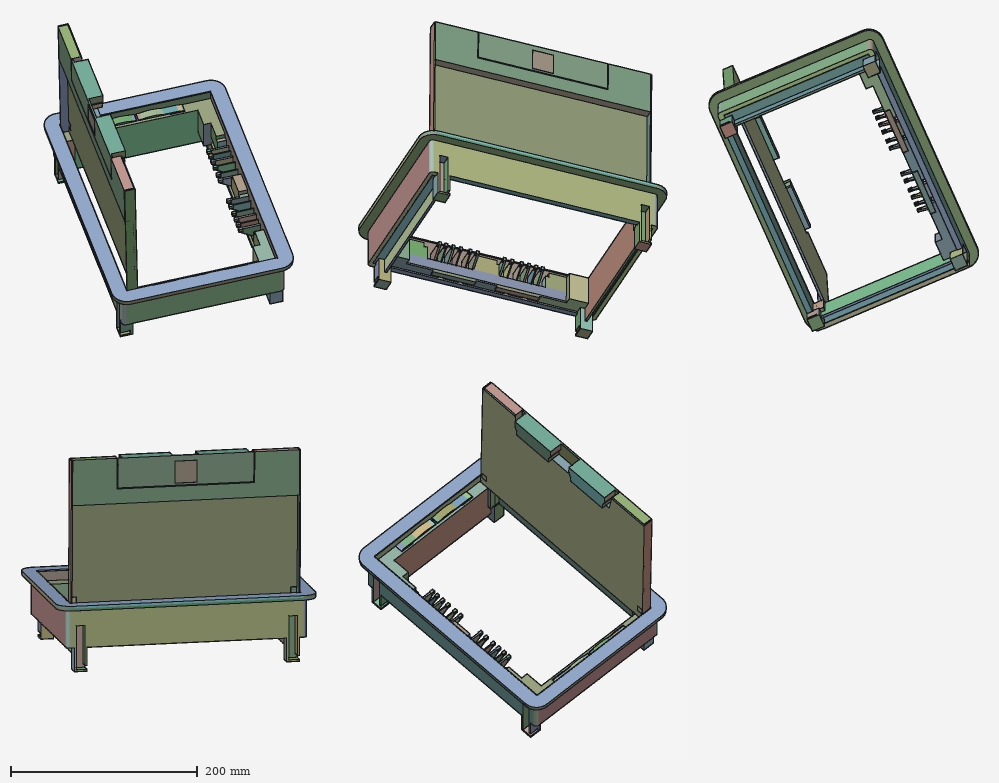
import cadquery as cq
import math

flange_length = 285.0
flange_width = 202.02
flange_radius = 16.5
rim_height = 2.9
flange_bevel = 0.3
flange_height = 5.2
lid_top = 157.0
foot_bottom = lid_top - 231.15

opening_length = 253.2
opening_width = 168.3
opening_edge_height = 1.5
opening_edge_overhang = 0.4
body_length = 263.5
body_width = 181.6
body_radius = 4.4
body_bottom = -48.0

support_top = -12.0
support_bottom = -46.0
side_ledge_x = 114.5
back_ledge_y = 74.5
back_ledge_undercut = 2.6
lip_height = 2.0
back_block_x = 92.5
back_block_y = 66.5
front_block_x = 110.6
front_block_y = 72.0

foot_outer_x = 123.5
foot_inner_x = 109.4
foot_depth = 14.3
foot_slot_width = 9.4
foot_slot_side = 2.4
foot_slot_depth = 11.2
foot_slot_top = -23.8
foot_slot_bottom = foot_bottom + 2.2
foot_exit_height = 4.0
rail_bottom = -62.7
rail_outer_x = 117.0

comb_inner_x = 12.1
comb_outer_x = 72.2
comb_floor_inner_x = 16.1
comb_floor_outer_x = 68.2
comb_step_y = 80.7
comb_mouth_bottom = -17.0
comb_floor = -32.0
comb_step_depth = 2.0
comb_pad_outer_x = 61.7
fin_places = (15.6, 24.1, 35.1, 43.6, 52.0, 59.4)
wide_fins = (15.6, 43.6, 59.4)
fin_width = 1.2
wide_fin_width = 2.2
fin_top = -17.0
fin_root_bottom = -38.0
fin_end_y = 60.3
fin_tip_height = 4.0
fin_tip_length = 4.5
fin_tip_width = 3.2
comb_holes = ((48.5, 6.0), (26.5, 5.0))

cradle_outer_y = (52.7, -52.2)
cradle_base_x = 116.8
cradle_x = 117.8
cradle_base_top = -11.6
cradle_base_length = 16.0
cradle_top = -10.8
cradle_slope = 5.0
cradle_flat = 16.3
drum_width = 25.0
drum_rise = 1.5
cradle_end_gap = 1.5
cradle_middle_gap = 2.0

lid_length = 251.4
lid_thickness = 12.1
lid_lean = 1.0
lid_bottom = support_top
lid_back_chamfer = 1.4
lid_rim = 1.4
lid_rim_setback = 0.4
inlay_top = 107.0
inlay_depth = 9.3
corner_pocket_length = 6.7
corner_pocket_bottom = -4.0
corner_pocket_top = 4.0
corner_pocket_depth = 2.0

flap_length = 149.0
flap_gap = 0.8
flap_bottom = 124.0
flap_plate = 2.0
notch_bottom = 135.5
notch_half_bottom = 71.6
flap_block_inner_x = 14.2
flap_block_outer_x = 69.7
flap_block_reach = 17.6
flap_block_taper = 3.0
flap_taper_bottom = 142.0
flap_taper_top = 147.0
latch_size = 24.2
latch_bottom = 126.6
latch_depth = 0.3


def box(x0, x1, y0, y1, z0, z1):
    """Box between two opposite corners, given in any order."""
    size = (abs(x1 - x0), abs(y1 - y0), abs(z1 - z0))
    return cq.Workplane("XY").box(*size).translate(((x0 + x1) / 2, (y0 + y1) / 2, (z0 + z1) / 2))


def both_sides(shape):
    """A shape together with its mirror image across the YZ plane."""
    return shape.union(shape.mirror("YZ"))


def rounded_slab(length, width, radius, z0, z1):
    return box(-length / 2, length / 2, -width / 2, width / 2, z0, z1).edges("|Z").fillet(radius)


wall_x = opening_length / 2 + opening_edge_overhang
wall_y = opening_width / 2 + opening_edge_overhang


def housing_shell():
    """Walls and flange, with a small overhang around the edge of the opening."""
    flange = rounded_slab(flange_length, flange_width, flange_radius, -flange_height, 0)
    flange = flange.faces("<Z").edges().chamfer(flange_height - rim_height, flange_bevel)
    body = rounded_slab(body_length, body_width, body_radius, body_bottom, 0)
    cavity = box(-wall_x, wall_x, -wall_y, wall_y, body_bottom, -opening_edge_height)
    edge_x = opening_length / 2
    edge_y = opening_width / 2
    opening = box(-edge_x, edge_x, -edge_y, edge_y, -opening_edge_height, 0)
    return flange.union(body).cut(cavity).cut(opening)


def right_supports():
    """Side ledge, corner blocks, feet and rail of the +X half."""
    ledge = box(side_ledge_x, wall_x, -wall_y, wall_y, support_bottom, support_top)
    back_block = box(back_block_x, wall_x, back_block_y, wall_y, support_bottom, support_top)
    front_block = box(front_block_x, wall_x, -front_block_y, -wall_y, support_bottom, support_top)
    supports = ledge.union(back_block).union(front_block)
    foot_y = body_width / 2
    for side in (1, -1):
        y_inner = side * (foot_y - foot_depth)
        supports = supports.union(
            box(foot_inner_x, foot_outer_x, side * foot_y, y_inner, foot_bottom, support_bottom)
        )
    rail_y = foot_y - foot_depth
    rail = box(side_ledge_x, rail_outer_x, -rail_y, rail_y, rail_bottom, support_bottom)
    return supports.union(rail)


def foot_slot(foot_x0):
    """Slot in a front foot, starting at its -X side, with an exit towards +X near its end."""
    y0 = -body_width / 2
    y1 = y0 + foot_slot_depth
    x0 = foot_x0 + foot_slot_side
    slot = box(x0, x0 + foot_slot_width, y0, y1, foot_slot_bottom, foot_slot_top)
    foot_x1 = foot_x0 + foot_outer_x - foot_inner_x
    exit_top = foot_slot_bottom + foot_exit_height
    return slot.union(box(x0, foot_x1, y0, y1, foot_slot_bottom, exit_top))


def back_ledge():
    """Ledge along the back wall: the lower part of its face slopes back to a lip at the bottom."""
    lip_top = support_bottom + lip_height
    profile = [
        (wall_y, support_top),
        (back_ledge_y, support_top),
        (back_ledge_y, comb_floor),
        (back_ledge_y + back_ledge_undercut, lip_top),
        (back_ledge_y, lip_top),
        (back_ledge_y, support_bottom),
        (wall_y, support_bottom),
    ]
    return cq.Workplane("YZ").polyline(profile).close().extrude(back_block_x, both=True)


def comb_recess():
    """Recess around the fins, with stepped ends and floor and two holes through the floor."""
    recess = box(comb_floor_inner_x, comb_floor_outer_x, back_ledge_y, wall_y, comb_floor, support_top)
    mouth = box(comb_inner_x, comb_outer_x, back_ledge_y, wall_y, comb_mouth_bottom, support_top)
    step_floor = comb_floor - comb_step_depth
    step = box(comb_floor_inner_x, comb_floor_outer_x, comb_step_y, wall_y, step_floor, support_top)
    recess = recess.union(mouth).union(step)
    for hole_x, hole_length in comb_holes:
        half = hole_length / 2
        recess = recess.union(
            box(hole_x - half, hole_x + half, comb_step_y, wall_y, body_bottom, support_top)
        )
    return recess


def comb_fin(x):
    """Tapered fin growing from the back wall, with a thicker tip."""
    width = wide_fin_width if x in wide_fins else fin_width
    tip_bottom = fin_top - fin_tip_height
    profile = [(wall_y, fin_top), (fin_end_y, fin_top), (fin_end_y, tip_bottom), (wall_y, fin_root_bottom)]
    fin = cq.Workplane("YZ").polyline(profile).close().extrude(width / 2, both=True)
    half_tip = fin_tip_width / 2
    tip = box(-half_tip, half_tip, fin_end_y, fin_end_y + fin_tip_length, tip_bottom, fin_top)
    return fin.union(tip).translate((x, 0, 0))


def cradle():
    """Cable cradle on the +X ledge: two mirrored halves, each a sloped end and a shallow drum."""
    y_back, y_front = cradle_outer_y
    middle = (y_back + y_front) / 2
    inner_end = middle + cradle_middle_gap / 2
    end = y_back - cradle_end_gap
    flat_start = end - cradle_slope
    drum_start = flat_start - cradle_flat
    drum_end = drum_start - drum_width
    drum_top = ((drum_start + drum_end) / 2, cradle_top + drum_rise)
    half = (
        cq.Workplane("YZ", origin=(cradle_x, 0, 0))
        .moveTo(end, support_top)
        .lineTo(end, cradle_base_top)
        .lineTo(flat_start, cradle_top)
        .lineTo(drum_start, cradle_top)
        .threePointArc(drum_top, (drum_end, cradle_top))
        .lineTo(inner_end, cradle_top)
        .lineTo(inner_end, support_top)
        .close()
        .extrude(wall_x - cradle_x)
    )
    base_end = y_back - cradle_base_length
    half = half.union(box(cradle_base_x, wall_x, base_end, y_back, support_top, cradle_base_top))
    other_half = half.mirror("XZ").translate((0, 2 * middle, 0))
    return half.union(other_half)


def make_housing():
    housing = housing_shell().union(both_sides(right_supports())).union(back_ledge())
    for foot_x0 in (-foot_outer_x, foot_inner_x):
        slot = foot_slot(foot_x0)
        opposite_slot = slot.rotate((0, 0, 0), (0, 0, 1), 180)
        housing = housing.cut(slot).cut(opposite_slot)
    housing = housing.cut(both_sides(comb_recess()))
    pad = box(comb_inner_x, comb_pad_outer_x, back_ledge_y, comb_step_y, body_bottom, support_bottom)
    housing = housing.union(both_sides(pad))
    for x in fin_places:
        housing = housing.union(both_sides(comb_fin(x)))
    return housing.union(both_sides(cradle()))


flap_half = flap_length / 2
pocket_half = flap_half + flap_gap
lid_end = lid_top / math.cos(math.radians(lid_lean))


def lean_out(shape):
    """Moves an upright shape to the front edge of the opening, tips it outwards and levels its top."""
    leaning = shape.rotate((0, 0, 0), (1, 0, 0), lid_lean).translate((0, -opening_width / 2, 0))
    above = box(-flange_length, flange_length, -flange_width, flange_width, lid_top, lid_top + lid_thickness)
    return leaning.cut(above)


def make_lid():
    half = lid_length / 2
    lid = box(-half, half, 0, lid_thickness, lid_bottom, lid_end)
    lid = lid.edges(">Z and >Y").chamfer(lid_back_chamfer)
    inner = half - lid_rim
    front_step = box(inner, half, 0, lid_rim_setback, lid_bottom, lid_end)
    top_step = box(inner, half, 0, lid_thickness, lid_end - lid_rim_setback, lid_end)
    lid = lid.cut(both_sides(front_step.union(top_step)))
    lid = lid.cut(box(-inner, inner, 0, inlay_depth, lid_bottom, inlay_top))
    pocket_inner = inner - corner_pocket_length
    pocket_back = inlay_depth + corner_pocket_depth
    pocket = box(pocket_inner, inner, inlay_depth, pocket_back, corner_pocket_bottom, corner_pocket_top)
    lid = lid.cut(both_sides(pocket))
    lid = lid.cut(box(-pocket_half, pocket_half, 0, flap_plate, flap_bottom - flap_gap, lid_end))
    notch = (
        cq.Workplane("XZ")
        .polyline([
            (-notch_half_bottom, notch_bottom),
            (notch_half_bottom, notch_bottom),
            (pocket_half, lid_end),
            (-pocket_half, lid_end),
        ])
        .close()
        .extrude(-lid_thickness)
    )
    return lean_out(lid.cut(notch))


def make_flap():
    flap = box(-flap_half, flap_half, 0, flap_plate, flap_bottom, lid_end)
    narrow_inner = flap_block_inner_x + flap_block_taper
    narrow_outer = flap_block_outer_x - flap_block_taper
    block = (
        cq.Workplane("XZ")
        .polyline([
            (flap_block_inner_x, lid_end),
            (flap_block_inner_x, flap_taper_top),
            (narrow_inner, flap_taper_bottom),
            (narrow_inner, notch_bottom),
            (narrow_outer, notch_bottom),
            (narrow_outer, flap_taper_bottom),
            (flap_block_outer_x, flap_taper_top),
            (flap_block_outer_x, lid_end),
        ])
        .close()
        .extrude(-flap_block_reach)
    )
    flap = flap.union(both_sides(block))
    half_latch = latch_size / 2
    latch = box(-half_latch, half_latch, 0, latch_depth, latch_bottom, latch_bottom + latch_size)
    return lean_out(flap.cut(latch))


housing = make_housing()
lid = make_lid()
flap = make_flap()
result = cq.Compound.makeCompound([housing.val(), lid.val(), flap.val()])